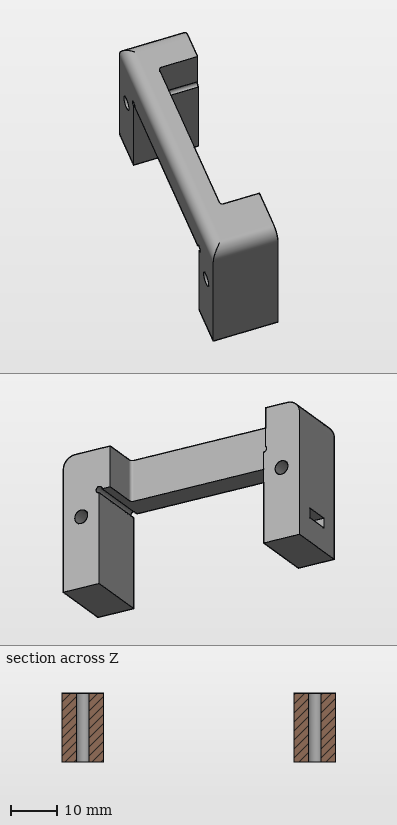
import cadquery as cq

length = 59.3
depth = 15.0
height = 32.25
edge_radius = 3.0

leg_width = 9.0
opening_height = 22.5
relief_diameter = 1.5

bar_thickness = 6.0
left_shoulder = 8.5
right_shoulder = 11.8
notch_corner_radius = 0.7

hole_diameter = 3.2
hole_height = 17.0

slot_width = 6.0
slot_height = 2.3
slot_bottom = 5.75

left_side = -length / 2
right_side = length / 2
opening_half_width = length / 2 - leg_width


def rounded_block():
    """Block with its front, left and right top edges rounded."""
    block = cq.Workplane("XY").box(length, depth, height, centered=(True, False, False))
    return block.faces(">Z").edges("<Y or <X or >X").fillet(edge_radius)


def opening():
    """Space between the legs, running through from front to back."""
    return cq.Workplane("XY").box(2 * opening_half_width, depth, opening_height, centered=(True, False, False))


def rear_notch():
    """Cut behind the crossbar with rounded inner corners."""
    notch_left = left_side + left_shoulder
    notch_width = right_side - right_shoulder - notch_left
    notch = cq.Workplane("XY").box(
        notch_width, depth - bar_thickness, height - opening_height, centered=False
    )
    notch = notch.edges("|Z and <Y").fillet(notch_corner_radius)
    return notch.translate((notch_left, bar_thickness, opening_height))


def mirrored_bores(offset, bore_height, diameter):
    """Pair of round bores along Y, placed symmetrically about the centre."""
    centres = [(side * offset, bore_height) for side in (-1, 1)]
    return cq.Workplane("XZ").pushPoints(centres).circle(diameter / 2).extrude(-depth)


def leg_slot():
    """Slot along X through the left leg, centred on its depth."""
    slot = cq.Workplane("XY").box(leg_width, slot_width, slot_height, centered=(False, True, False))
    return slot.translate((left_side, depth / 2, slot_bottom))


corner_reliefs = mirrored_bores(opening_half_width, opening_height, relief_diameter)
mounting_holes = mirrored_bores(length / 2 - leg_width / 2, hole_height, hole_diameter)

result = (
    rounded_block()
    .cut(opening())
    .cut(rear_notch())
    .cut(corner_reliefs)
    .cut(mounting_holes)
    .cut(leg_slot())
)